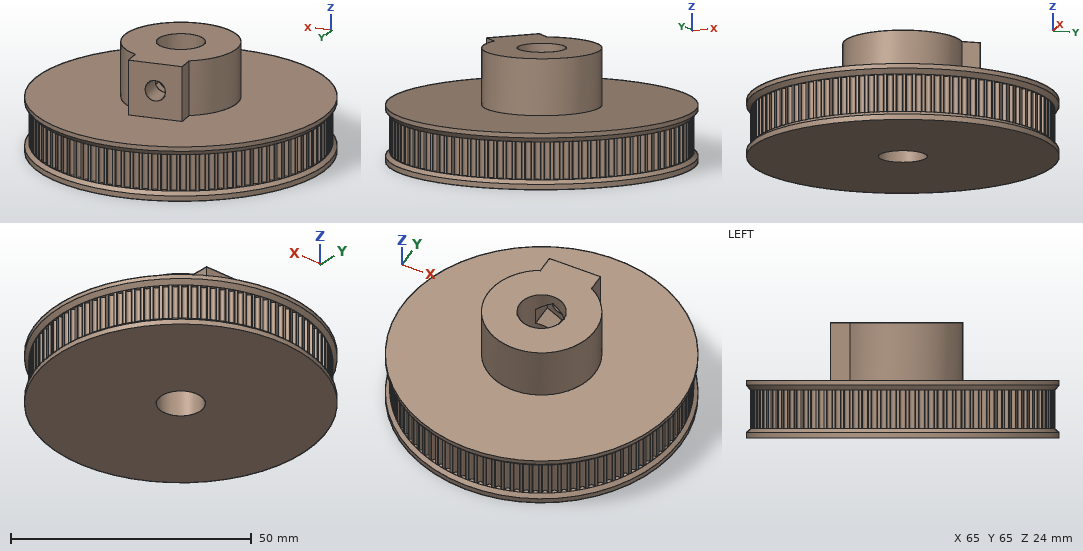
import cadquery as cq
import math

pulley_height = 11.95
flange_radius = 32.5
top_flange_height = 2.0
bottom_flange_height = 1.95
top_rim_height = 1.0
bottom_rim_height = 1.2

track_height = pulley_height - bottom_flange_height - top_flange_height
tooth_count = 100
tooth_tip_radius = 31.6
groove_depth = 0.8
mouth_half_width = 0.7
neck_half_width = 0.6
neck_depth = 0.05
floor_half_width = 0.5
floor_arc_depth = 0.4
cutter_overrun = 0.3

total_height = 24.0
hub_height = total_height - pulley_height
hub_diameter = 25.0
bore_diameter = 10.2
boss_width = 11.95
boss_reach = 15.0

nut_flats = 6.8
nut_corners = nut_flats / math.cos(math.radians(30))
nut_pocket_end = 9.1
screw_diameter = 4.5
screw_height = pulley_height + hub_height / 2


def disc_with_flanges():
    """Revolved disc: two tapered flanges around a plain belt track."""
    top_taper = pulley_height - top_flange_height
    profile = (
        cq.Workplane("XZ")
        .lineTo(flange_radius, 0)
        .lineTo(flange_radius, bottom_rim_height)
        .lineTo(tooth_tip_radius, bottom_flange_height)
        .lineTo(tooth_tip_radius, top_taper)
        .lineTo(flange_radius, pulley_height - top_rim_height)
        .lineTo(flange_radius, pulley_height)
        .lineTo(0, pulley_height)
        .close()
    )
    return profile.revolve(360, (0, 0, 0), (0, 1, 0))


def belt_grooves():
    """One rounded groove per tooth gap, cut between the flanges."""
    mouth = tooth_tip_radius * math.cos(mouth_half_width / tooth_tip_radius)
    outside = tooth_tip_radius + cutter_overrun
    groove = (
        cq.Workplane("XY", origin=(0, 0, bottom_flange_height))
        .moveTo(outside, -mouth_half_width)
        .lineTo(mouth, -mouth_half_width)
        .lineTo(tooth_tip_radius - neck_depth, -neck_half_width)
        .lineTo(tooth_tip_radius - floor_arc_depth, -floor_half_width)
        .threePointArc(
            (tooth_tip_radius - groove_depth, 0),
            (tooth_tip_radius - floor_arc_depth, floor_half_width),
        )
        .lineTo(tooth_tip_radius - neck_depth, neck_half_width)
        .lineTo(mouth, mouth_half_width)
        .lineTo(outside, mouth_half_width)
        .close()
        .extrude(track_height)
        .val()
    )
    axis_start = cq.Vector(0, 0, 0)
    axis_end = cq.Vector(0, 0, 1)
    pitch_angle = 360 / tooth_count
    return cq.Compound.makeCompound(
        [groove.rotate(axis_start, axis_end, i * pitch_angle) for i in range(tooth_count)]
    )


def hub():
    """Round hub with a flat-sided boss towards +Y."""
    base = cq.Workplane("XY", origin=(0, 0, pulley_height))
    cylinder = base.circle(hub_diameter / 2).extrude(hub_height)
    boss = base.center(0, boss_reach / 2).rect(boss_width, boss_reach).extrude(hub_height)
    return cylinder.union(boss)


def clamp_cutter():
    """Hexagonal nut pocket, corner up, with the screw hole through the boss."""
    plane = cq.Plane(origin=(0, 0, screw_height), xDir=(0, 0, 1), normal=(0, 1, 0))
    pocket = cq.Workplane(plane).polygon(6, nut_corners).extrude(nut_pocket_end)
    screw = cq.Workplane(plane).circle(screw_diameter / 2).extrude(boss_reach)
    return pocket.union(screw)


bore = cq.Workplane("XY").circle(bore_diameter / 2).extrude(total_height)
pulley = disc_with_flanges().cut(cq.Workplane(obj=belt_grooves()))
result = pulley.union(hub()).cut(bore).cut(clamp_cutter())